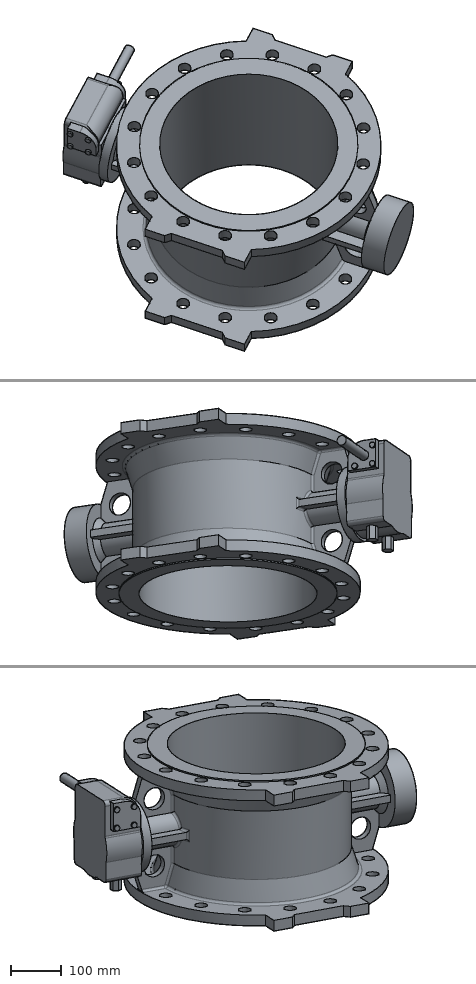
import cadquery as cq
import math

overall_length = 688.0
height = 290.0
bore_dia = 350.0
raised_face_dia = 429.0
raised_face_step = 3.0
flange_dia = 520.0
flange_thickness = 23.0
bolt_circle_dia = 459.5
bolt_hole_dia = 25.0
bolt_count = 16

barrel_dia = 375.0
barrel_half_height = 71.5
neck_dia = 406.0
neck_fillet = 7.0

tab_to_tab_length = 544.0
tab_half_width = 106.0
tab_notch_half_width = 65.0
tab_notch_depth = 10.0

shaft_offset = 3.0
hub_dia = 71.0
hub_flare = 12.0
rib_thickness = 15.0
shaft_rib_half_width = 56.0
root_depth = 34.5
root_fillet = 5.0
web_reach = 271.0
web_foot_reach = 256.5
web_shoulder = 75.0
web_hole_dia = 45.5
web_hole_x = 230.0
web_hole_z = 70.0

pad_dia = 150.0
end_cap_x = 319.0
gear_pad_x = -289.5

case_back_x = -296.0
case_top = 104.5
case_width = 124.5
case_foot_width = 133.0
case_bottom = -65.0
case_drum_radius = 69.5
case_back_step_z = 67.5
case_back_radius = 29.0
case_foot_radius = 8.0
case_top_radius = 9.0
case_drum_fillet = 9.0

cover_front_x = -356.5
cover_top = 103.0
cover_bottom = 45.0
cover_span = 149.0
cover_screw_dia = 12.0
cover_screw_head = 3.8
cover_back_radius = 34.5
cover_screw_xs = (-350.0, -312.0)
cover_screw_zs = (51.5, 90.0)

input_shaft_dia = 20.0
input_shaft_x = -331.0
input_shaft_z = 71.5
input_shaft_end_y = 181.5

stop_bolt_flats = 20.0
stop_bolt_spacing = 73.0
stop_bolt_end_z = -92.0

half_height = height / 2
flange_outer_z = half_height - raised_face_step
flange_inner_z = flange_outer_z - flange_thickness
bore_radius = bore_dia / 2
tab_half_length = tab_to_tab_length / 2
gear_face_x = end_cap_x - overall_length
case_half_width = case_width / 2
case_foot_half_width = case_foot_width / 2
cover_half_span = cover_span / 2

pick_margin = 1.0


def block(x_range, y_range, z_range):
    """Axis-aligned box given by its limits."""
    size = [end - start for start, end in (x_range, y_range, z_range)]
    corner = (x_range[0], y_range[0], z_range[0])
    return cq.Workplane("XY").box(*size, centered=False).translate(corner)


def shaft_cylinder(diameter, x_start, x_end):
    """Cylinder on the valve shaft axis."""
    plane = cq.Workplane("YZ", origin=(x_start, shaft_offset, 0))
    return plane.circle(diameter / 2).extrude(x_end - x_start)


def barrel():
    """Solid barrel flaring out to a filleted neck under each flange and to the raised faces."""
    upper_outline = [
        (0, half_height),
        (raised_face_dia / 2, half_height),
        (raised_face_dia / 2, flange_inner_z),
        (neck_dia / 2, flange_inner_z),
        (barrel_dia / 2, barrel_half_height),
    ]
    lower_outline = [(radius, -z) for radius, z in reversed(upper_outline)]
    outline = cq.Workplane("XZ").polyline(upper_outline + lower_outline).close()
    solid = outline.revolve(360, (0, 0, 0), (0, 1, 0))
    reach = neck_dia / 2 + pick_margin
    neck_corners = cq.selectors.BoxSelector(
        (-reach, -reach, -half_height), (reach, reach, half_height), boundingbox=True
    )
    barrel_corners = cq.selectors.RadiusNthSelector(0)
    return solid.edges("%CIRCLE").edges(neck_corners - barrel_corners).fillet(neck_fillet)


def flange():
    """Round flange with two notched foot tabs, at the top end."""
    plate = cq.Workplane("XY").circle(flange_dia / 2).extrude(flange_thickness)
    notch_floor = tab_half_length - tab_notch_depth
    notch_floor_half_width = tab_notch_half_width - tab_notch_depth
    right_side = [
        (tab_half_width, 0),
        (tab_half_width, tab_half_length),
        (tab_notch_half_width, tab_half_length),
        (notch_floor_half_width, notch_floor),
    ]
    left_side = [(-x, y) for x, y in reversed(right_side)]
    tab = cq.Workplane("XY").polyline(right_side + left_side).close().extrude(flange_thickness)
    plate = plate.union(tab).union(tab.mirror("XZ"))
    return plate.translate((0, 0, flange_inner_z))


def web(side):
    """Upright web on the shaft axis with two lifting holes; side is -1 or 1."""
    right_outline = [
        (web_foot_reach, flange_inner_z),
        (web_reach, web_shoulder),
        (web_reach, -web_shoulder),
        (web_foot_reach, -flange_inner_z),
        (bore_radius, -flange_inner_z),
        (bore_radius, flange_inner_z),
    ]
    outline = [(side * x, z) for x, z in right_outline]
    plane = cq.Workplane("XZ", origin=(0, shaft_offset, 0))
    plate = plane.polyline(outline).close().extrude(rib_thickness / 2, both=True)
    centres = [(side * web_hole_x, -web_hole_z), (side * web_hole_x, web_hole_z)]
    holes = plane.pushPoints(centres).circle(web_hole_dia / 2).extrude(rib_thickness, both=True)
    return plate.cut(holes)


def hub(side):
    """Shaft hub flaring out at its pad; side is -1 or 1."""
    hub_radius = hub_dia / 2
    outline = [
        (side * bore_radius, 0),
        (side * bore_radius, hub_radius),
        (side * (web_reach - hub_flare), hub_radius),
        (side * web_reach, hub_radius + hub_flare),
        (side * web_reach, 0),
    ]
    plane = cq.Workplane("XY", origin=(0, shaft_offset, 0))
    return plane.polyline(outline).close().revolve(360, (0, 0, 0), (1, 0, 0))


def shaft_rib(side):
    """Flat rib through the hub, square to the pipe axis; side is -1 or 1."""
    inner_end = bore_radius - root_depth
    length = web_reach - inner_end
    rib = cq.Workplane("XY").box(length, 2 * shaft_rib_half_width, rib_thickness)
    return rib.translate((side * (inner_end + length / 2), shaft_offset, 0))


def supports(side):
    """Web, hub and rib that carry one end of the shaft; side is -1 or 1."""
    return web(side).union(hub(side)).union(shaft_rib(side))


def support_root_edges():
    """Selector for the edges where the -X supports meet the barrel and the flanges."""
    half_width = shaft_rib_half_width + shaft_offset + pick_margin
    barrel_foot = cq.selectors.BoxSelector(
        (-neck_dia / 2 - neck_fillet, -half_width, -half_height),
        (-bore_radius, half_width, half_height),
        boundingbox=True,
    )
    outer_x = -web_foot_reach + rib_thickness
    flange_feet = [
        cq.selectors.BoxSelector(
            (outer_x, -half_width, side * flange_inner_z - pick_margin),
            (-raised_face_dia / 2, half_width, side * flange_inner_z + pick_margin),
        )
        for side in (-1, 1)
    ]
    return barrel_foot + flange_feet[0] + flange_feet[1]


def casting():
    """Barrel, flanges and the shaft supports, bored and drilled."""
    body = barrel().union(flange()).union(flange().mirror("XY"))
    body = body.union(supports(-1)).edges(support_root_edges()).fillet(root_fillet)
    body = body.union(supports(1))
    bore = cq.Workplane("XY").circle(bore_radius).extrude(half_height, both=True)
    bolt_holes = (
        cq.Workplane("XY", origin=(0, 0, flange_inner_z))
        .polarArray(bolt_circle_dia / 2, 180 / bolt_count, 360, bolt_count)
        .circle(bolt_hole_dia / 2)
        .extrude(flange_thickness)
    )
    return body.cut(bore).cut(bolt_holes).cut(bolt_holes.mirror("XY"))


def gear_case():
    """Gear case: square head rounded at the back, drum round the shaft and a wider foot."""
    near, far = shaft_offset - case_half_width, shaft_offset + case_half_width
    foot_near, foot_far = shaft_offset - case_foot_half_width, shaft_offset + case_foot_half_width
    head_block = block((gear_face_x, case_back_x), (near, far), (0, case_top))
    head = head_block.edges(">Z and |X").fillet(case_top_radius)
    head = head.intersect(head_block.edges("|Y and >X and >Z").fillet(case_back_radius))
    collar = block((gear_face_x, gear_pad_x), (near, far), (0, case_back_step_z))
    foot = block((gear_face_x, gear_pad_x), (foot_near, foot_far), (case_bottom, 0))
    foot = foot.edges("|X and <Z").fillet(case_foot_radius)
    drum = shaft_cylinder(2 * case_drum_radius, gear_face_x, gear_pad_x)
    case = head.union(collar).union(foot).union(drum)
    flank_joint_z = math.sqrt(case_drum_radius**2 - case_half_width**2)
    flank_joints = cq.selectors.BoxSelector(
        (gear_face_x, near - pick_margin, flank_joint_z - pick_margin),
        (gear_pad_x, far + pick_margin, flank_joint_z + pick_margin),
    )
    return case.edges("|X").edges(flank_joints).fillet(case_drum_fillet)


def gear_covers():
    """Screwed bearing covers on both flanks of the gear case."""
    y_range = (shaft_offset - cover_half_span, shaft_offset + cover_half_span)
    covers = block((cover_front_x, case_back_x), y_range, (cover_bottom, cover_top))
    covers = covers.edges("|Y and >X and >Z").fillet(cover_back_radius)
    centres = [(x, z) for x in cover_screw_xs for z in cover_screw_zs]
    screws = (
        cq.Workplane("XZ", origin=(0, shaft_offset, 0))
        .pushPoints(centres)
        .circle(cover_screw_dia / 2)
        .extrude(cover_half_span + cover_screw_head, both=True)
    )
    return covers.union(screws)


def input_shaft():
    """Drive shaft leaving the gear case on the +Y flank."""
    plane = cq.Workplane("XZ", origin=(input_shaft_x, input_shaft_end_y, input_shaft_z))
    return plane.circle(input_shaft_dia / 2).extrude(input_shaft_end_y - shaft_offset)


def stop_bolts():
    """Two hexagonal stop bolts under the gear case."""
    across_corners = stop_bolt_flats / math.cos(math.pi / 6)
    return (
        cq.Workplane("XY", origin=(input_shaft_x, shaft_offset, stop_bolt_end_z))
        .transformed(rotate=(0, 0, 90))
        .pushPoints([(-stop_bolt_spacing / 2, 0), (stop_bolt_spacing / 2, 0)])
        .polygon(6, across_corners)
        .extrude(case_bottom - stop_bolt_end_z + case_foot_radius)
    )


result = (
    casting()
    .union(shaft_cylinder(pad_dia, gear_pad_x, -web_reach))
    .union(shaft_cylinder(pad_dia, web_reach, end_cap_x))
    .union(gear_case())
    .union(gear_covers())
    .union(input_shaft())
    .union(stop_bolts())
)